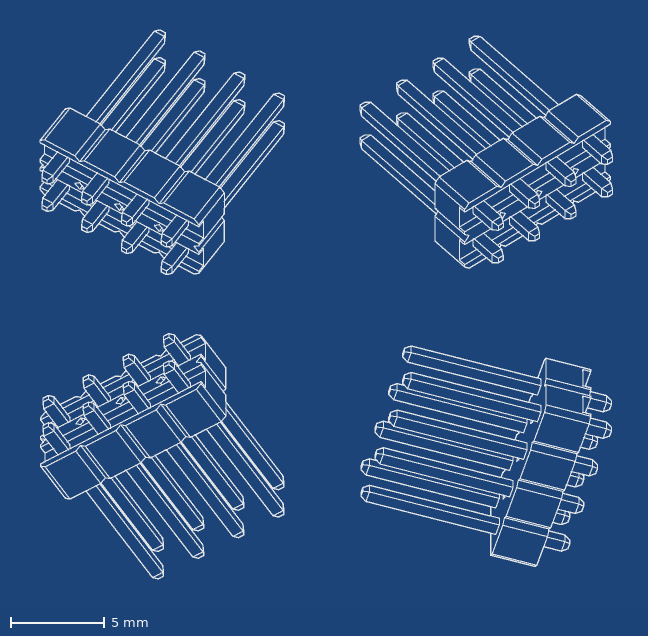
import cadquery as cq


columns = 4
rows = 2
pitch = 2.54
housing_depth = 2.5
cell_chamfer = 0.3

channel_height = 1.54
channel_depth = 0.45

pin_length = 11.6
pin_front_reach = 1.5
pin_width = 0.65
tip_width = 0.35
tip_length = 0.32

housing_length = columns * pitch
column_centers = [(i - (columns - 1) / 2) * pitch for i in range(columns)]
row_centers = [(j - (rows - 1) / 2) * pitch for j in range(rows)]
cell_centers = [(x, z) for x in column_centers for z in row_centers]


def make_cell(x, z):
    """One housing block with its four Y-direction edges chamfered."""
    block = cq.Workplane("XY").box(pitch, housing_depth, pitch)
    return block.edges("|Y").chamfer(cell_chamfer).translate((x, housing_depth / 2, z))


def make_channel(z):
    """Cutter for the channel across the front of one row."""
    cutter = cq.Workplane("XY").box(housing_length, channel_depth, channel_height)
    return cutter.translate((0, channel_depth / 2, z))


def make_tip(x, z):
    """Square frustum that widens toward +Y, with its small end at Y = 0."""
    return (
        cq.Workplane("XZ")
        .center(x, z)
        .rect(tip_width, tip_width)
        .workplane(offset=-tip_length)
        .rect(pin_width, pin_width)
        .loft(ruled=True)
    )


def make_pin(x, z):
    """Square pin tapered at both ends, passing through the housing."""
    shaft_length = pin_length - 2 * tip_length
    shaft = cq.Workplane("XY").box(pin_width, shaft_length, pin_width)
    shaft = shaft.translate((x, pin_length / 2, z))
    front_tip = make_tip(x, z)
    back_tip = front_tip.mirror("XZ").translate((0, pin_length, 0))
    pin = shaft.union(front_tip).union(back_tip)
    return pin.translate((0, -pin_front_reach, 0))


result = cq.Workplane("XY")
for x, z in cell_centers:
    result = result.union(make_cell(x, z))

for z in row_centers:
    result = result.cut(make_channel(z))

for x, z in cell_centers:
    result = result.union(make_pin(x, z))

result = result.clean()